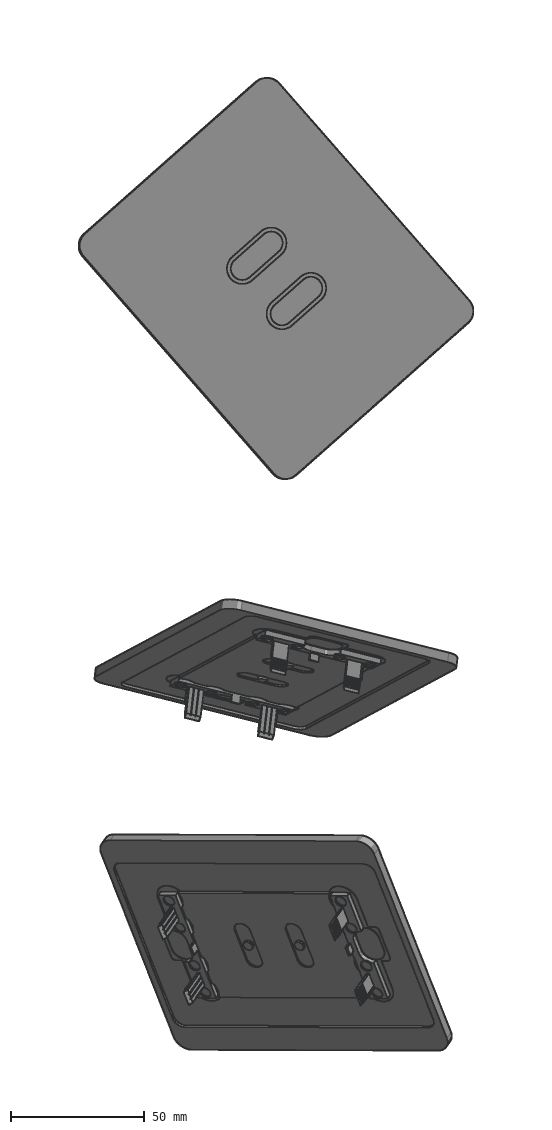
import cadquery as cq

plate_length = 120.0
plate_width = 98.0
plate_thickness = 3.8
corner_radius = 6.0
pocket_length = 114.6
pocket_width = 76.6
pocket_depth = 1.1
pocket_radius = 4.0

lens_spacing = 22.5
ring_width = 11.5
ring_length = 26.0
ring_wall = 1.5
lens_seat_depth = 0.7
window_width = 6.8
window_length = 20.5
boss_diameter = 3.9
boss_height = 1.0

bracket_offset = 37.7
bracket_width = 7.7
bracket_length = 48.0
bracket_height = 2.2
seat_depth = 0.1
seat_clearance = 2.2
seat_length = 53.9
notch_depth = 4.9
notch_length = 14.8
notch_radius = 4.5
bay_reach = 48.1
bay_length = 15.9
bay_radius = 1.7
well_reach = 46.6
well_depth = 0.2
hole_diameter = 4.5
hole_depth = 0.7
hole_places = (8.9, 21.4)
tab_width = 3.6
tab_thickness = 0.9
tab_height = 2.7

panel_width = 48.8
scallop_radius = 5.3

clip_place = 15.2
clip_width = 6.0
clip_thickness = 1.0
clip_height = 12.0
clip_bevel = 1.6
wing_width = 0.7
wing_thickness = 0.3
wing_height = 6.6
tooth_count = 6
tooth_pitch = 0.7
tooth_depth = 0.5
groove_size = 0.2

turn_about_y = 33.4
turn_about_x = 20.0

pocket_floor = pocket_depth
seat_floor = pocket_floor + seat_depth
bracket_top = seat_floor - bracket_height
bracket_inner = bracket_offset - bracket_width / 2
bracket_outer = bracket_offset + bracket_width / 2
notch_end = bracket_outer - notch_depth
lens_width = ring_width - 2 * ring_wall
lens_length = ring_length - 2 * ring_wall
lens_places = [(side * lens_spacing / 2, 0) for side in (-1, 1)]
hole_points = [(bracket_offset, side * y) for y in hole_places for side in (-1, 1)]


def block(x_min, x_max, y_min, y_max, z_min, z_max):
    """Axis-aligned block between the given limits."""
    size = (x_max - x_min, y_max - y_min, z_max - z_min)
    return cq.Workplane("XY").box(*size, centered=False).translate((x_min, y_min, z_min))


def rounded_block(x_min, x_max, length, radius, z_min, z_max):
    """Block centred on the x axis, with its upright edges rounded."""
    body = block(x_min, x_max, -length / 2, length / 2, z_min, z_max)
    return body.edges("|Z").fillet(radius)


def upright_slot(points, length, width, z_min, z_max):
    """Round-ended prisms whose long direction is y."""
    sketch = cq.Workplane("XY").workplane(offset=z_min).pushPoints(points)
    return sketch.slot2D(length, width, 90).extrude(z_max - z_min)


def both_ends(body):
    """The body at the +x end together with its half-turn copy at the -x end."""
    return [body, body.rotate((0, 0, 0), (0, 0, 1), 180)]


def notch_cutter(reach, z_min, z_max):
    return rounded_block(notch_end, reach, notch_length, notch_radius, z_min, z_max)


def make_panel():
    """Panel filling the space between the brackets, scalloped around the bracket holes."""
    half_width = panel_width / 2
    panel = block(-bracket_inner, bracket_inner, -half_width, half_width, 0, seat_floor)
    scallops = cq.Workplane("XY").pushPoints(hole_points).circle(scallop_radius).extrude(pocket_floor)
    for cutter in both_ends(scallops):
        panel = panel.cut(cutter)
    return panel


def make_cover():
    plate = cq.Workplane("XY").box(plate_length, plate_width, plate_thickness, centered=(True, True, False))
    plate = plate.edges("|Z").fillet(corner_radius)
    half_pocket = pocket_length / 2
    plate = plate.cut(rounded_block(-half_pocket, half_pocket, pocket_width, pocket_radius, 0, pocket_floor))

    seat_width = bracket_width + 2 * seat_clearance
    seat = upright_slot([(bracket_offset, 0)], seat_length, seat_width, pocket_floor, seat_floor)
    bay = rounded_block(bracket_offset, bay_reach, bay_length, bay_radius, pocket_floor, seat_floor)
    well = notch_cutter(well_reach, seat_floor, seat_floor + well_depth)
    for cutter in both_ends(seat.union(bay).union(well)):
        plate = plate.cut(cutter)

    cover = plate.union(make_panel())
    cover = cover.cut(upright_slot(lens_places, ring_length, ring_width, lens_seat_depth, plate_thickness))
    return cover.cut(upright_slot(lens_places, window_length, window_width, 0, lens_seat_depth))


def make_lens(place):
    """Lens flush with the front face, with a round boss on its back."""
    lens = upright_slot([place], lens_length, lens_width, lens_seat_depth, plate_thickness)
    boss = cq.Workplane("XY").workplane(offset=lens_seat_depth).pushPoints([place])
    return lens.union(boss.circle(boss_diameter / 2).extrude(-boss_height))


def make_ring(place):
    ring = upright_slot([place], ring_length, ring_width, lens_seat_depth, plate_thickness)
    return ring.cut(upright_slot([place], lens_length, lens_width, lens_seat_depth, plate_thickness))


def make_clip():
    """Toothed clip of the +x bracket at +y: smooth inside, teeth outside, bevelled tip."""
    inner = bracket_offset - clip_thickness
    outer = bracket_offset
    tip = bracket_top - clip_height
    teeth_start = bracket_top - wing_height
    y_min = clip_place - clip_width / 2
    y_max = clip_place + clip_width / 2

    profile = [(inner, bracket_top), (outer, bracket_top), (outer, teeth_start)]
    for tooth in range(tooth_count):
        root = teeth_start - tooth * tooth_pitch
        profile += [(outer + tooth_depth, root), (outer, root - tooth_pitch)]
    profile += [(outer, tip), (inner, tip + clip_bevel)]
    clip = cq.Workplane("XZ").polyline(profile).close().extrude(-clip_width).translate((0, y_min, 0))

    wing = block(outer - wing_thickness, outer, y_max, y_max + wing_width, teeth_start, bracket_top)
    clip = clip.union(wing)
    for third in (1, 2):
        y = y_min + third * clip_width / 3
        half = groove_size / 2
        clip = clip.cut(block(inner, inner + groove_size, y - half, y + half, tip, bracket_top))
    return clip


def make_bracket():
    half_length = bracket_length / 2
    bracket = block(bracket_inner, bracket_outer, -half_length, half_length, bracket_top, seat_floor)
    bracket = bracket.cut(notch_cutter(well_reach, bracket_top, seat_floor))
    holes = cq.Workplane("XY").workplane(offset=bracket_top).pushPoints(hole_points)
    bracket = bracket.cut(holes.circle(hole_diameter / 2).extrude(hole_depth))
    half_tab = tab_width / 2
    tab_tip = bracket_top - tab_height
    tab = block(bracket_inner, bracket_inner + tab_thickness, -half_tab, half_tab, tab_tip, bracket_top)
    clip = make_clip()
    return bracket.union(tab).union(clip).union(clip.mirror("XZ"))


def tilt(body):
    turned = body.val().rotate(cq.Vector(0, 0, 0), cq.Vector(0, 1, 0), turn_about_y)
    return turned.rotate(cq.Vector(0, 0, 0), cq.Vector(1, 0, 0), turn_about_x)


cover = make_cover()
lenses = [make_lens(place) for place in lens_places]
rings = [make_ring(place) for place in lens_places]
brackets = both_ends(make_bracket())

result = cq.Compound.makeCompound([tilt(body) for body in [cover, *lenses, *rings, *brackets]])